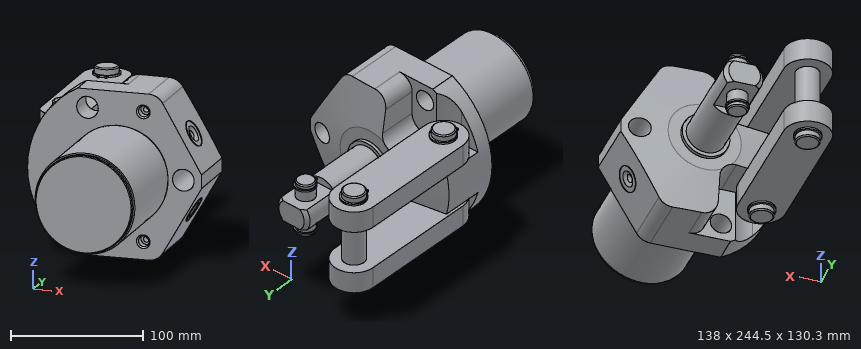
import cadquery as cq
import math

OVERALL_WIDTH = 138.0
OVERALL_LENGTH = 244.5
FLANGE_HEIGHT = 130.3
BIG = 244.5

FLANGE_RADIUS = 73.0
FLANGE_THICKNESS = 22.5
HEAD_TOP = 57.2
NOSE_HALF_WIDTH = 5.5
NOSE_ANGLE = 60
CORNER_RADIUS = 12.7
TOP_FLAT_RADIUS = 29.3
TOP_SLOPE = 10

LINK_RADIUS = 19.0
LINK_THICKNESS = 19.0
TONGUE_HALF = 19.0
LINK_OUTER = TONGUE_HALF + LINK_THICKNESS
LINK_X = LINK_RADIUS - FLANGE_RADIUS
LINK_TOP_Y = 136.6
LINK_PIVOT_Y = 33.7
LINK_PIN_RADIUS = 9.5
LINK_PIN_HALF_LENGTH = 45.0
LINK_CLIP_RADIUS = 10.8
LINK_LUG_WIDTH = 8.8
LINK_LUG_REACH = 3.0

RELIEF_ROUND = 12.5
RELIEF_FILLET = 13.2
POCKET_RADIUS = 20.3

BODY_RADIUS = 39.5
STEP_RADIUS = 38.5
STEP_LENGTH = 3.5
CAP_CHAMFER = 0.7
BODY_END = LINK_TOP_Y + LINK_RADIUS - OVERALL_LENGTH

ROD_RADIUS = 16.0
ROD_END = 146.7
ROD_CHAMFER = 3.2
COLLAR_RADIUS = 19.0
COLLAR_HEIGHT = 3.0
ROD_TONGUE_START = 112.5
ROD_TONGUE_HALF = 9.5
ROD_PIN_Y = 130.3
ROD_PIN_RADIUS = 8.0
ROD_PIN_HALF_LENGTH = 24.5
ROD_CLIP_RADIUS = 9.0
ROD_LUG_WIDTH = 6.4
ROD_LUG_REACH = 2.5
ROD_CLIP_Z = 19.5

PIN_CHAMFER = 1.0
CLIP_THICKNESS = 1.5
CLIP_OFFSET = 0.5
LUG_TAPER = 0.7
LUG_PRONG = 1.2
LUG_NOTCH_DEPTH = 1.7

MOUNT_HOLE_DIAMETER = 17
SIDE_HOLE_X = -25.5
HOLE_REACH = 50.5
FACE_PORT_X = 18.8
FACE_PORT_Z = 50.8
FACE_PORT_MOUTH = 5.5
FACE_PORT_BORE = 4.2
FACE_PORT_DRILL = 2.2
FACE_PORT_SINK = 1.2
FACE_PORT_BORE_DEPTH = 7.3
SLANT_PORT_X = 50.8
SLANT_PORT_Y = 26.0
SLANT_PORT_SPOT = 10.5
SLANT_PORT_SINK = 6.4
SLANT_PORT_DRILL = 3.2
SLANT_PORT_SPOT_DEPTH = 0.5
SLANT_PORT_SINK_DEPTH = 2.2
PORT_DEPTH = 14.7

HALF_HEIGHT = FLANGE_HEIGHT / 2
NOSE_X = OVERALL_WIDTH - FLANGE_RADIUS


def profile_plane(y):
    """Plane across the cylinder axis at height y; a negative extrusion goes toward +Y."""
    return cq.Workplane("XZ", origin=(0, y, 0))


def disc_along_y(radius, start, end):
    return profile_plane(start).circle(radius).extrude(start - end)


def on_both_sides(solid):
    return solid.union(solid.mirror("XY"))


def head_block():
    slope = math.tan(math.radians(NOSE_ANGLE))
    shoulder_x = NOSE_X - (HALF_HEIGHT - NOSE_HALF_WIDTH) / slope
    arc_x = -math.sqrt(FLANGE_RADIUS**2 - HALF_HEIGHT**2)
    block = (
        profile_plane(0)
        .moveTo(arc_x, HALF_HEIGHT)
        .lineTo(shoulder_x, HALF_HEIGHT)
        .lineTo(NOSE_X, NOSE_HALF_WIDTH)
        .lineTo(NOSE_X, -NOSE_HALF_WIDTH)
        .lineTo(shoulder_x, -HALF_HEIGHT)
        .lineTo(arc_x, -HALF_HEIGHT)
        .threePointArc((-FLANGE_RADIUS, 0), (arc_x, HALF_HEIGHT))
        .close()
        .extrude(-HEAD_TOP)
    )
    corners = cq.selectors.BoxSelector(
        (shoulder_x - 2.5, -2.5, -BIG), (shoulder_x + 2.5, HEAD_TOP + 2.5, BIG)
    )
    block = block.edges("|Y").edges(corners).fillet(CORNER_RADIUS)
    drop = (BIG - TOP_FLAT_RADIUS) * math.tan(math.radians(TOP_SLOPE))
    cone_envelope = (
        cq.Workplane("XY")
        .polyline([
            (0, 0),
            (BIG, 0),
            (BIG, HEAD_TOP - drop),
            (TOP_FLAT_RADIUS, HEAD_TOP),
            (0, HEAD_TOP),
        ])
        .close()
        .revolve(360, (0, 0, 0), (0, 1, 0))
    )
    return block.intersect(cone_envelope)


def relief_cut():
    """Clearance on both sides of the tongue, with an S-shaped wall up to the head block."""
    wall_x = -RELIEF_ROUND
    fillet_x = wall_x - RELIEF_FILLET
    fillet_z = TONGUE_HALF + RELIEF_FILLET
    diagonal = math.sqrt(0.5)
    round_mid = (
        -RELIEF_ROUND * diagonal,
        HALF_HEIGHT - RELIEF_ROUND + RELIEF_ROUND * diagonal,
    )
    fillet_mid = (
        fillet_x + RELIEF_FILLET * diagonal,
        fillet_z - RELIEF_FILLET * diagonal,
    )
    side = (
        profile_plane(FLANGE_THICKNESS)
        .moveTo(0, HALF_HEIGHT)
        .threePointArc(round_mid, (wall_x, HALF_HEIGHT - RELIEF_ROUND))
        .lineTo(wall_x, fillet_z)
        .threePointArc(fillet_mid, (fillet_x, TONGUE_HALF))
        .lineTo(-BIG, TONGUE_HALF)
        .lineTo(-BIG, BIG)
        .lineTo(0, BIG)
        .close()
        .extrude(-BIG)
    )
    link_plane = cq.Workplane("XY", origin=(LINK_X, LINK_PIVOT_Y, TONGUE_HALF))
    swing = link_plane.circle(POCKET_RADIUS).extrude(BIG)
    run_out = (
        link_plane.moveTo(-BIG / 2, 0).rect(BIG, 2 * POCKET_RADIUS).extrude(BIG)
    )
    return on_both_sides(side.union(swing).union(run_out))


def mounting_holes():
    centers = [(HOLE_REACH, 0), (SIDE_HOLE_X, HOLE_REACH), (SIDE_HOLE_X, -HOLE_REACH)]
    return profile_plane(0).pushPoints(centers).circle(MOUNT_HOLE_DIAMETER / 2).extrude(-HEAD_TOP)


def port(origin, inward, profile):
    """Turned hole from its half profile of (radius, depth) points, starting at the mouth."""
    tool = (
        cq.Workplane("XY")
        .polyline([(0, 0)] + profile + [(0, profile[-1][1])])
        .close()
        .revolve(360, (0, 0, 0), (0, 1, 0))
        .rotate((0, 0, 0), (1, 0, 0), 90)
    )
    plane = cq.Plane(origin=origin, normal=inward)
    return cq.Workplane(tool.val().moved(cq.Location(plane)))


def ports():
    angle = math.radians(NOSE_ANGLE)
    slant_z = NOSE_HALF_WIDTH + (NOSE_X - SLANT_PORT_X) * math.tan(angle)
    face_port = port(
        (FACE_PORT_X, 0, FACE_PORT_Z),
        (0, 1, 0),
        [
            (FACE_PORT_MOUTH, 0),
            (FACE_PORT_BORE, FACE_PORT_SINK),
            (FACE_PORT_BORE, FACE_PORT_BORE_DEPTH),
            (FACE_PORT_DRILL, FACE_PORT_BORE_DEPTH),
            (FACE_PORT_DRILL, PORT_DEPTH),
        ],
    )
    slant_port = port(
        (SLANT_PORT_X, SLANT_PORT_Y, slant_z),
        (-math.sin(angle), 0, -math.cos(angle)),
        [
            (SLANT_PORT_SPOT, 0),
            (SLANT_PORT_SPOT, SLANT_PORT_SPOT_DEPTH),
            (SLANT_PORT_SINK, SLANT_PORT_SPOT_DEPTH),
            (SLANT_PORT_DRILL, SLANT_PORT_SINK_DEPTH),
            (SLANT_PORT_DRILL, PORT_DEPTH),
        ],
    )
    return on_both_sides(face_port.union(slant_port))


def barrel():
    neck = disc_along_y(STEP_RADIUS, -STEP_LENGTH, 0)
    body = disc_along_y(BODY_RADIUS, BODY_END + STEP_LENGTH, -STEP_LENGTH)
    cap = disc_along_y(STEP_RADIUS, BODY_END, BODY_END + STEP_LENGTH)
    cap = cap.faces("<Y").chamfer(CAP_CHAMFER)
    return neck.union(body).union(cap)


def piston_rod():
    rod = disc_along_y(ROD_RADIUS, 0, ROD_END).faces(">Y").chamfer(ROD_CHAMFER)
    flat = cq.Workplane("XY").box(
        2 * ROD_RADIUS, ROD_END - ROD_TONGUE_START, ROD_RADIUS, centered=(True, False, False)
    )
    rod = rod.cut(on_both_sides(flat.translate((0, ROD_TONGUE_START, ROD_TONGUE_HALF))))
    return rod.union(disc_along_y(COLLAR_RADIUS, 0, HEAD_TOP + COLLAR_HEIGHT))


def clip_lug(plane, radius, width, reach):
    """Tapered lug on the -Y side of a clip, notched at its tip to leave two prongs."""
    root = width / 2
    tip = root - LUG_TAPER
    tip_y = -radius - reach
    notch = tip - LUG_PRONG
    notch_y = tip_y + LUG_NOTCH_DEPTH
    return (
        plane
        .polyline([
            (-root, 0),
            (-root, -radius),
            (-tip, tip_y),
            (-notch, tip_y),
            (-notch, notch_y),
            (notch, notch_y),
            (notch, tip_y),
            (tip, tip_y),
            (root, -radius),
            (root, 0),
        ])
        .close()
        .extrude(CLIP_THICKNESS)
    )


def clipped_pin(radius, half_length, clip_radius, clip_z, lug_width, lug_reach):
    """Pin along Z with chamfered ends and a lugged retaining clip near each end."""
    pin = cq.Workplane("XY").circle(radius).extrude(half_length, both=True)
    pin = pin.faces("|Z").chamfer(PIN_CHAMFER)
    plane = cq.Workplane("XY", origin=(0, 0, clip_z))
    ring = plane.moveTo(0, CLIP_OFFSET).circle(clip_radius).extrude(CLIP_THICKNESS)
    return pin.union(on_both_sides(ring.union(clip_lug(plane, radius, lug_width, lug_reach))))


def links():
    link = (
        cq.Workplane("XY", origin=(LINK_X, (LINK_TOP_Y + LINK_PIVOT_Y) / 2, TONGUE_HALF))
        .slot2D(LINK_TOP_Y - LINK_PIVOT_Y + 2 * LINK_RADIUS, 2 * LINK_RADIUS, 90)
        .extrude(LINK_THICKNESS)
    )
    return on_both_sides(link)


result = head_block().cut(relief_cut()).cut(mounting_holes()).cut(ports())
result = result.union(barrel()).union(piston_rod()).union(links())

link_pin = clipped_pin(
    LINK_PIN_RADIUS, LINK_PIN_HALF_LENGTH, LINK_CLIP_RADIUS, LINK_OUTER, LINK_LUG_WIDTH, LINK_LUG_REACH
)
for pin_y in (LINK_PIVOT_Y, LINK_TOP_Y):
    result = result.union(link_pin.translate((LINK_X, pin_y, 0)))

rod_pin = clipped_pin(
    ROD_PIN_RADIUS, ROD_PIN_HALF_LENGTH, ROD_CLIP_RADIUS, ROD_CLIP_Z, ROD_LUG_WIDTH, ROD_LUG_REACH
)
result = result.union(rod_pin.translate((0, ROD_PIN_Y, 0)))